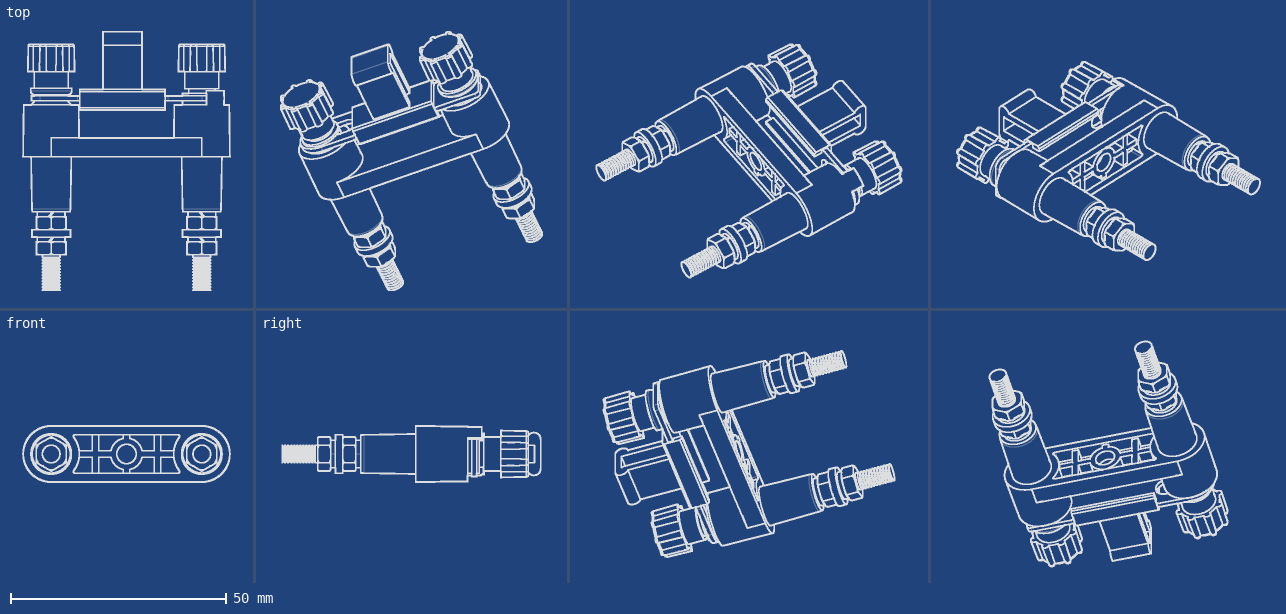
import cadquery as cq
import math

POST_X = 17.5

BODY_R = 6.56
BODY_TOP_R = 6.42
BODY_TOP = 12.1
BRIDGE_DEPTH = 4.43
BRIDGE_FLOOR = 1.2
POCKET_HALF_HEIGHT = 4.52
POCKET_END_R = 6.3
POCKET_CORNER_R = 0.6
RIB_WIDTH = 1.48
RIB_RECESS = 0.6
SIDE_RIB_X = 7.17
BOSS_R = 3.7
BOSS_HOLE_R = 2.26

BARREL_R = 4.71
BARREL_TIP_R = 4.5
BARREL_CONE_END = -12.1
BARREL_END = -12.8
BARREL_END_R = 4.4

HEX_FLATS = 6.9
HEX_HEIGHT = 3.0
HEX_CORNER_R = 3.93
HEX_CHAMFER = 0.25
LOCK_WASHER_R = 3.25
LOCK_WASHER_HEIGHT = 1.1
LOCK_SPLIT_WIDTH = 0.2
LOCK_SPLIT_ANGLE = 40
LOCK_SPLIT_DEPTH = 1.0
FLAT_WASHER_R = 4.5
FLAT_WASHER_HEIGHT = 1.75
STUD_END = -31.0
STUD_R = 2.05
THREAD_ROOT_R = 1.65
THREAD_PITCH = 0.7

KNOB_BOTTOM = 19.8
KNOB_TOP = 26.2
KNOB_CORE_R = 4.95
KNOB_LOBES = 8
LOBE_CENTRE_R = 5.0
LOBE_R = 0.85
KNOB_DRAFT = 0.12
KNOB_CHAMFER_HEIGHT = 0.45
KNOB_CHAMFER_INSET = 0.2
NECK_R = 4.0
LEFT_NECK_END = 16.0
RIGHT_NECK_END = 15.8

LINK_BOTTOM = 13.0
LINK_TOP = 14.17
LINK_HALF_HEIGHT = 5.24
LINK_LEFT = -22.1
LINK_UPPER_CORNER_R = 1.95
LINK_LOWER_CORNER_R = 0.95
SLOT_LEFT = 8.9
SLOT_R = 2.4
NOTCH_HALF_HEIGHT = 3.7
NOTCH_CORNER_R = 0.6

COLLAR_R = 4.82
COLLAR_RIM_END = 15.4
COLLAR_END = 14.4
COLLAR_END_R = 3.85
COLLAR_BULGE = 0.28
SEAT_BASE_R = 4.6
SEAT_TOP_R = 3.9

PIVOT_R = 3.08
PIVOT_WASHER_R = 4.5
PIVOT_WASHER_TOP = 14.75
GUARD_TOP = 15.4
GUARD_INNER_R = 5.92
GUARD_START_X = 1.1
GUARD_END_X = 5.2

GRIP_LEFT = -10.9
GRIP_RIGHT = 9.0
GRIP_FRONT = 10.9
GRIP_BACK = 15.7
GRIP_HALF_HEIGHT = 5.0
GRIP_CHAMFER = 0.5
HANDLE_WIDTH = 9.14
HANDLE_END = 29.1
HANDLE_OPENING_END = 27.6
HANDLE_OPENING_HALF = 2.0
HANDLE_ARM_HALF = 3.8
BEAD_R = 1.6


def turned(profile):
    """Revolve a (radius, y) outline, closed along the Y axis, about the Y axis."""
    points = [(0, profile[0][1])] + profile + [(0, profile[-1][1])]
    return cq.Workplane("XY").polyline(points).close().revolve(360, (0, 0), (0, 1))


def disc(radius, y_start, y_end):
    return turned([(radius, y_start), (radius, y_end)])


def block(x_range, y_range, z_half):
    width = x_range[1] - x_range[0]
    depth = y_range[1] - y_range[0]
    box = cq.Workplane("XY").box(width, depth, 2 * z_half)
    return box.translate((sum(x_range) / 2, sum(y_range) / 2, 0))


def front_sketch_plane(y):
    """XZ sketch plane at the given y; extrusions from it run toward -Y."""
    return cq.Workplane("XZ", origin=(0, y, 0))


def make_bridge():
    bridge = block((-POST_X, POST_X), (0, BRIDGE_DEPTH), BODY_R)
    depth = BRIDGE_DEPTH - BRIDGE_FLOOR
    pocket = block((-POST_X, POST_X), (0, depth), POCKET_HALF_HEIGHT)
    for side in (-1, 1):
        pocket = pocket.cut(disc(POCKET_END_R, 0, depth).translate((side * POST_X, 0, 0)))
    pocket = pocket.edges("|Y").fillet(POCKET_CORNER_R)
    rib_depth = (RIB_RECESS, depth)
    pocket = pocket.cut(block((-POST_X, POST_X), rib_depth, RIB_WIDTH / 2))
    for x in (-SIDE_RIB_X, 0, SIDE_RIB_X):
        pocket = pocket.cut(block((x - RIB_WIDTH / 2, x + RIB_WIDTH / 2), rib_depth, BODY_R))
    pocket = pocket.cut(disc(BOSS_R, *rib_depth))
    return bridge.cut(pocket).cut(disc(BOSS_HOLE_R, 0, depth))


def make_nut(y_top):
    corner_diameter = HEX_FLATS / math.cos(math.pi / 6)
    corner_r = corner_diameter / 2
    y_bottom = y_top - HEX_HEIGHT
    prism = front_sketch_plane(y_top).transformed(rotate=(0, 0, 90))
    prism = prism.polygon(6, corner_diameter).extrude(HEX_HEIGHT)
    envelope = turned([
        (HEX_CORNER_R - HEX_CHAMFER, y_bottom),
        (corner_r, y_bottom + HEX_CHAMFER),
        (corner_r, y_top - HEX_CHAMFER),
        (HEX_CORNER_R - HEX_CHAMFER, y_top),
    ])
    return prism.intersect(envelope)


def make_lock_washer(y_top, lean):
    """Split spring washer; lean is +1 or -1 for the direction in which the split slants."""
    washer = disc(LOCK_WASHER_R, y_top - LOCK_WASHER_HEIGHT, y_top)
    split = cq.Workplane("XY").box(LOCK_SPLIT_WIDTH, 2 * LOCK_WASHER_HEIGHT, LOCK_SPLIT_DEPTH)
    split = split.rotate((0, 0, 0), (0, 0, 1), -lean * LOCK_SPLIT_ANGLE)
    split_z = LOCK_WASHER_R - LOCK_SPLIT_DEPTH / 2
    return washer.cut(split.translate((0, y_top - LOCK_WASHER_HEIGHT / 2, split_z)))


def make_stud(y_top):
    """Threaded stud end, its thread simplified to evenly spaced V-shaped rings."""
    turns = int((y_top - STUD_END) / THREAD_PITCH)
    profile = [(STUD_R, STUD_END)]
    for turn in range(turns):
        crest = STUD_END + turn * THREAD_PITCH
        profile.append((THREAD_ROOT_R, crest + THREAD_PITCH / 2))
        profile.append((STUD_R, crest + THREAD_PITCH))
    profile.append((STUD_R, y_top))
    return turned(profile)


def make_post_base(lean):
    """Body, barrel, nuts, washers and stud, which both posts share."""
    base = turned([
        (BARREL_END_R, BARREL_END),
        (BARREL_TIP_R, BARREL_CONE_END),
        (BARREL_R, 0),
        (BODY_R, 0),
        (BODY_TOP_R, BODY_TOP),
    ])
    y = BARREL_END
    base = base.union(make_lock_washer(y, lean))
    y -= LOCK_WASHER_HEIGHT
    base = base.union(make_nut(y))
    y -= HEX_HEIGHT
    base = base.union(disc(FLAT_WASHER_R, y - FLAT_WASHER_HEIGHT, y))
    y -= FLAT_WASHER_HEIGHT
    base = base.union(make_lock_washer(y, lean))
    y -= LOCK_WASHER_HEIGHT
    base = base.union(make_nut(y))
    y -= HEX_HEIGHT
    return base.union(make_stud(y))


def knob_column(base_r):
    """Slightly tapered round column over the height of the knob, chamfered at its far end."""
    return turned([
        (base_r, KNOB_BOTTOM),
        (base_r - KNOB_DRAFT, KNOB_TOP - KNOB_CHAMFER_HEIGHT),
        (base_r - KNOB_DRAFT - KNOB_CHAMFER_INSET, KNOB_TOP),
    ])


def make_knob(neck_end):
    knob = knob_column(KNOB_CORE_R).union(disc(NECK_R, neck_end, KNOB_BOTTOM))
    lobe = knob_column(LOBE_R).translate((LOBE_CENTRE_R, 0, 0))
    for index in range(KNOB_LOBES):
        angle = 360 * (index + 0.5) / KNOB_LOBES
        knob = knob.union(lobe.rotate((0, 0, 0), (0, 1, 0), angle))
    return knob


def make_left_clamp():
    """Conical seat under the link plate and rounded collar over it."""
    seat = turned([(SEAT_BASE_R, BODY_TOP), (SEAT_TOP_R, LINK_BOTTOM), (SEAT_TOP_R, LINK_TOP)])
    chord_r = COLLAR_R - COLLAR_END_R
    chord_y = COLLAR_RIM_END - COLLAR_END
    chord = math.hypot(chord_r, chord_y)
    bulge = (
        (COLLAR_R + COLLAR_END_R) / 2 + COLLAR_BULGE * chord_y / chord,
        (COLLAR_RIM_END + COLLAR_END) / 2 - COLLAR_BULGE * chord_r / chord,
    )
    collar = (
        cq.Workplane("XY")
        .moveTo(0, LINK_TOP)
        .lineTo(COLLAR_END_R, LINK_TOP)
        .lineTo(COLLAR_END_R, COLLAR_END)
        .threePointArc(bulge, (COLLAR_R, COLLAR_RIM_END))
        .lineTo(COLLAR_R, LEFT_NECK_END)
        .lineTo(0, LEFT_NECK_END)
        .close()
        .revolve(360, (0, 0), (0, 1))
    )
    return seat.union(collar)


def make_right_clamp():
    """Pivot with a washer on each side of the link plate, and a thin guard wall."""
    pivot = disc(PIVOT_R, BODY_TOP, RIGHT_NECK_END)
    pivot = pivot.union(disc(PIVOT_WASHER_R, BODY_TOP, LINK_BOTTOM))
    pivot = pivot.union(disc(PIVOT_WASHER_R, LINK_TOP, PIVOT_WASHER_TOP))
    guard_top_r = BODY_R - (BODY_R - BODY_TOP_R) * GUARD_TOP / BODY_TOP
    guard = turned([(BODY_R, 0), (guard_top_r, GUARD_TOP)])
    guard = guard.cut(disc(GUARD_INNER_R, 0, GUARD_TOP))
    sector = cq.Workplane("XZ").polyline([
        (0, 0),
        (2 * GUARD_END_X, 2 * math.sqrt(BODY_TOP_R**2 - GUARD_END_X**2)),
        (2 * GUARD_START_X, 2 * math.sqrt(BODY_TOP_R**2 - GUARD_START_X**2)),
    ]).close().extrude(-GUARD_TOP)
    return pivot.union(guard.intersect(sector))


def make_link():
    """Plate with a squared left end, a waist inside the grip and a slotted round right end."""
    depth = (LINK_BOTTOM, LINK_TOP)
    left_end = block((LINK_LEFT, GRIP_LEFT), depth, LINK_HALF_HEIGHT)
    left_end = left_end.edges("|Y and <X and >Z").fillet(LINK_UPPER_CORNER_R)
    left_end = left_end.edges("|Y and <X and <Z").fillet(LINK_LOWER_CORNER_R)
    left_end = left_end.edges("|Y and >X").fillet(NOTCH_CORNER_R)
    right_end = block((GRIP_RIGHT, POST_X), depth, LINK_HALF_HEIGHT)
    right_end = right_end.edges("|Y and <X").fillet(NOTCH_CORNER_R)
    right_end = right_end.union(disc(LINK_HALF_HEIGHT, *depth).translate((POST_X, 0, 0)))
    waist = block((GRIP_LEFT, GRIP_RIGHT), depth, NOTCH_HALF_HEIGHT)
    slot_arc_x = SLOT_LEFT + SLOT_R
    slot = block((slot_arc_x, POST_X), depth, SLOT_R)
    for x in (slot_arc_x, POST_X):
        slot = slot.union(disc(SLOT_R, *depth).translate((x, 0, 0)))
    return left_end.union(waist).union(right_end).cut(slot)


def make_grip():
    """Channel-shaped holder whose two lips reach over the edges of the link plate."""
    span = (GRIP_LEFT, GRIP_RIGHT)
    holder = block(span, (GRIP_FRONT, GRIP_BACK), GRIP_HALF_HEIGHT)
    holder = holder.edges("|X").chamfer(GRIP_CHAMFER)
    holder = holder.cut(block(span, (GRIP_FRONT, LINK_TOP), NOTCH_HALF_HEIGHT))
    return holder


def make_handle():
    middle = (GRIP_LEFT + GRIP_RIGHT) / 2
    span = (middle - HANDLE_WIDTH / 2, middle + HANDLE_WIDTH / 2)
    bead_y = HANDLE_END - BEAD_R
    bead_z = GRIP_HALF_HEIGHT - BEAD_R
    handle = block(span, (GRIP_BACK, bead_y), HANDLE_ARM_HALF)
    handle = handle.union(block(span, (bead_y, HANDLE_END), bead_z))
    for side in (-1, 1):
        bead = cq.Workplane("YZ", origin=(span[0], 0, 0)).center(bead_y, side * bead_z)
        handle = handle.union(bead.circle(BEAD_R).extrude(HANDLE_WIDTH))
    return handle.cut(block(span, (GRIP_BACK, HANDLE_OPENING_END), HANDLE_OPENING_HALF))


left_post = make_post_base(1).union(make_left_clamp()).union(make_knob(LEFT_NECK_END))
right_post = make_post_base(-1).union(make_right_clamp()).union(make_knob(RIGHT_NECK_END))

result = make_bridge()
result = result.union(left_post.translate((-POST_X, 0, 0)))
result = result.union(right_post.translate((POST_X, 0, 0)))
result = result.union(make_link())
result = result.union(make_grip()).union(make_handle())